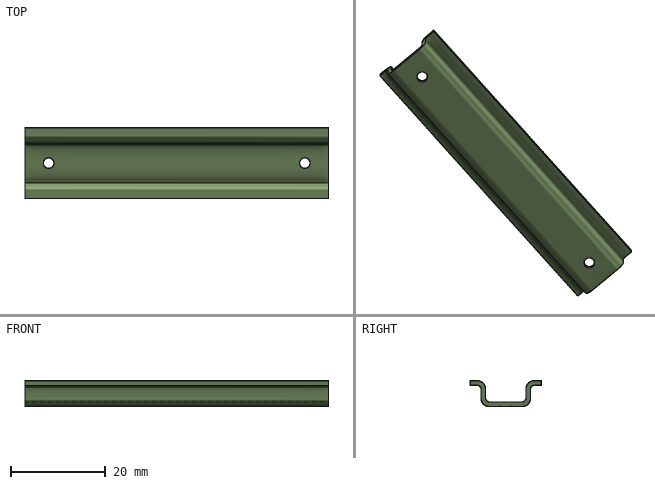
import cadquery as cq

length = 64.0
width = 15.0
height = 5.5
sheet = 1.0

channel_width = 10.5
inner_radius = 0.8
outer_radius = inner_radius + sheet

hole_diameter = 2.2
hole_spacing = 54.0


def make_rail():
    """Extrude the top-hat section along X, then round both sides of each bend."""
    section = (
        cq.Workplane("YZ")
        .moveTo(-width / 2, height)
        .lineTo(-width / 2, height - sheet)
        .lineTo(-channel_width / 2, height - sheet)
        .lineTo(-channel_width / 2, 0)
        .lineTo(channel_width / 2, 0)
        .lineTo(channel_width / 2, height - sheet)
        .lineTo(width / 2, height - sheet)
        .lineTo(width / 2, height)
        .lineTo(channel_width / 2 - sheet, height)
        .lineTo(channel_width / 2 - sheet, sheet)
        .lineTo(-channel_width / 2 + sheet, sheet)
        .lineTo(-channel_width / 2 + sheet, height)
        .close()
    )
    rail = section.extrude(length / 2, both=True)
    inner_y = channel_width / 2 - sheet
    outer_y = channel_width / 2
    bends = (
        (inner_y, sheet, inner_radius),
        (outer_y, 0, outer_radius),
        (outer_y, height - sheet, inner_radius),
        (inner_y, height, outer_radius),
    )
    for side in (-1, 1):
        for y, z, radius in bends:
            corner = cq.selectors.NearestToPointSelector((0, side * y, z))
            rail = rail.edges("|X").edges(corner).fillet(radius)
    return rail


def make_hole_cutters():
    return (
        cq.Workplane("XY")
        .pushPoints([(-hole_spacing / 2, 0), (hole_spacing / 2, 0)])
        .circle(hole_diameter / 2)
        .extrude(height)
    )


result = make_rail().cut(make_hole_cutters())